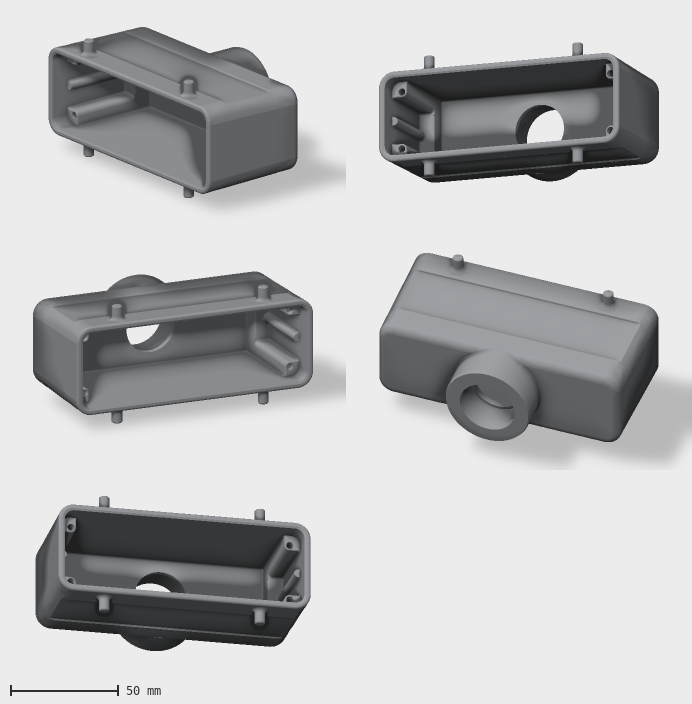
import cadquery as cq
import math


length = 120.0
height = 43.0
length_back = 119.1
height_back = 41.2
body_depth = 55.0
corner_radius = 7.5
back_edge_radius = 3.7
rim_edge_radius = 1.1

wall = 3.0
cavity_depth = 52.1
cavity_draft_x = 0.5
cavity_draft_z = 0.6
cavity_floor_radius = 0.8
rim_bevel_width = 0.8
rim_bevel_depth = 0.5

boss_diameter = 41.5
boss_end = 70.0
boss_root = 52.1
boss_blend_radius = 0.6
boss_chamfer_radial = 0.5
boss_chamfer_axial = 1.2
entry_hole_diameter = 24.2
entry_bore_diameter = 26.9

label_half_length = 55.9
label_near = 13.2
label_far = 41.0
label_depth = 0.7
label_near_ramp = 0.2
label_far_ramp = 0.6

pin_x = 37.1
pin_y = 6.2
pin_diameter = 4.9
pin_span = 57.0
pin_tip_chamfer = 0.5
pin_flare_radius = 2.0

post_face = 9.6
post_inner_x = 49.7
post_side_z = 11.2
post_draft = 1.0
post_edge_radius = 2.4
post_face_chamfer = 0.4
ledge_depth = 43.2
ledge_radius = 1.0
ledge_round_half_length = 9.5
recess_back_x = 57.0
screw_x = 52.1
screw_z = 13.5
screw_mouth_diameter = 3.4
screw_bottom_diameter = 2.8
screw_depth = 18.0
rib_x = 56.0
rib_radius = 1.9
rib_draft = 0.5

draft_run = body_depth - rim_edge_radius
length_slope = (length - length_back) / draft_run
height_slope = (height - height_back) / draft_run
rim_length = length + length_slope * rim_edge_radius
rim_height = height + height_slope * rim_edge_radius
cavity_length = rim_length - 2 * wall
cavity_height = rim_height - 2 * wall

DIAGONAL = math.sqrt(0.5)
MARGIN = 0.1


def plane_at(y):
    """Sketch plane across the hood at depth y, facing +Y."""
    return cq.Workplane(cq.Plane(origin=(0, y, 0), xDir=(1, 0, 0), normal=(0, 1, 0)))


def drafted_block(depth, start_size, end_size, radius):
    """Rounded rectangle lofted from the rim plane between two (length, height) sizes."""
    start = cq.Sketch().rect(*start_size).vertices().fillet(radius)
    end = cq.Sketch().rect(*end_size).vertices().fillet(radius)
    end = end.moved(cq.Location(cq.Vector(0, 0, depth)))
    return plane_at(0).placeSketch(start, end).loft(ruled=True)


def edge_box(low, high):
    """Selector for edges centred between two corners, with a small margin all round."""
    return cq.selectors.BoxSelector(
        tuple(value - MARGIN for value in low),
        tuple(value + MARGIN for value in high),
    )


def wall_z(y):
    """Height of the outer +Z wall at depth y."""
    return (rim_height - height_slope * y) / 2


def make_body():
    body = drafted_block(body_depth, (rim_length, rim_height), (length_back, height_back), corner_radius)
    body = body.faces(">Y").edges().fillet(back_edge_radius)
    return body.faces("<Y").edges().fillet(rim_edge_radius)


def make_boss():
    radius = boss_diameter / 2
    profile = [
        (0, boss_root),
        (radius, boss_root),
        (radius, boss_end - boss_chamfer_axial),
        (radius - boss_chamfer_radial, boss_end),
        (0, boss_end),
    ]
    return cq.Workplane("XY").polyline(profile).close().revolve(360, (0, 0), (0, 1))


def make_solid_hood():
    """Body and boss, blended where the boss leaves the body."""
    radius = boss_diameter / 2
    boss_foot = edge_box((-radius, boss_root + 2 * MARGIN, -radius), (radius, body_depth, radius))
    return make_body().union(make_boss()).edges(boss_foot).fillet(boss_blend_radius)


def cavity_block(grow=0.0):
    """Cavity volume, optionally grown sideways into the walls."""
    mouth = (cavity_length + 2 * grow, cavity_height + 2 * grow)
    floor = (mouth[0] - 2 * cavity_draft_x, mouth[1] - 2 * cavity_draft_z)
    return drafted_block(cavity_depth, mouth, floor, corner_radius - wall + grow)


def make_cavity():
    """Cavity with the bevel around its mouth."""
    mouth = (cavity_length + 2 * rim_bevel_width, cavity_height + 2 * rim_bevel_width)
    bevel = drafted_block(rim_bevel_depth, mouth, (cavity_length, cavity_height), corner_radius - wall)
    return cavity_block().union(bevel)


def label_cut():
    """Shallow recess in the +Z side, its floor parallel to the drafted wall."""
    near_z = wall_z(label_near)
    far_z = wall_z(label_far)
    profile = [
        (label_near, rim_height),
        (label_near, near_z),
        (label_near + label_near_ramp, near_z - label_depth),
        (label_far - label_far_ramp, far_z - label_depth),
        (label_far, far_z),
        (label_far, rim_height),
    ]
    return cq.Workplane("YZ").polyline(profile).close().extrude(label_half_length, both=True)


def make_pin(x):
    """Pin pointing to +Z with a concave flare where it leaves the wall."""
    radius = pin_diameter / 2
    tip = pin_span / 2
    foot_z = wall_z(pin_y)
    root_z = foot_z - wall / 2
    flare_rise = pin_flare_radius * (1 - DIAGONAL)
    profile = (
        cq.Workplane("XZ", origin=(x, pin_y, 0))
        .moveTo(0, root_z)
        .lineTo(radius + pin_flare_radius, root_z)
        .lineTo(radius + pin_flare_radius, foot_z)
        .threePointArc((radius + flare_rise, foot_z + flare_rise), (radius, foot_z + pin_flare_radius))
        .lineTo(radius, tip - pin_tip_chamfer)
        .lineTo(radius - pin_tip_chamfer, tip)
        .lineTo(0, tip)
        .close()
    )
    return profile.revolve(360, (0, 0), (0, 1))


def recess_cutter():
    """Space between the two posts of the -X end, widening into the cavity with rounded post edges."""
    depth = ledge_depth - post_face
    draft_shift = depth * math.tan(math.radians(post_draft))
    shoulder_z = post_side_z + 2 * post_edge_radius
    mouth_length = 4 * post_edge_radius
    gap_end_x = -post_inner_x + mouth_length / 2
    gap = (
        plane_at(post_face)
        .center((gap_end_x - recess_back_x) / 2, 0)
        .rect(gap_end_x + recess_back_x, 2 * post_side_z)
        .extrude(depth, taper=post_draft)
    )
    mouth = (
        plane_at(post_face)
        .center(-post_inner_x + mouth_length / 2, 0)
        .rect(mouth_length, 2 * shoulder_z)
        .extrude(depth, taper=post_draft)
    )
    cutter = gap.union(mouth)

    middle = (post_face + ledge_depth) / 2
    post_edges = edge_box(
        (-post_inner_x, middle, -post_side_z), (-post_inner_x + draft_shift, middle, post_side_z)
    )
    cutter = cutter.edges(post_edges).fillet(post_edge_radius)
    back_edges = edge_box(
        (-recess_back_x, middle, -post_side_z), (-recess_back_x + draft_shift, middle, post_side_z)
    )
    cutter = cutter.edges(back_edges).fillet(ledge_radius)
    ledge_edges = edge_box(
        (-recess_back_x, ledge_depth, -shoulder_z), (-post_inner_x - 2 * MARGIN, ledge_depth, shoulder_z)
    )
    return cutter.edges(ledge_edges).fillet(ledge_radius)


def ledge_round_cutter():
    """Rounds the inner edge of the ledge between the posts."""
    edge_x = -post_inner_x + (ledge_depth - post_face) * math.tan(math.radians(post_draft))
    start_x = edge_x - ledge_radius
    end_y = ledge_depth + ledge_radius
    bulge = ledge_radius * DIAGONAL
    corner = (
        cq.Workplane("XY")
        .moveTo(start_x, ledge_depth)
        .threePointArc((start_x + bulge, end_y - bulge), (edge_x, end_y))
        .lineTo(edge_x + ledge_radius, end_y)
        .lineTo(edge_x + ledge_radius, ledge_depth)
        .close()
    )
    return corner.extrude(ledge_round_half_length, both=True)


def screw_hole(side):
    """Slightly tapered blind hole in the post on the given Z side."""
    taper = math.degrees(math.atan((screw_mouth_diameter - screw_bottom_diameter) / 2 / screw_depth))
    mouth = plane_at(post_face).center(-screw_x, side * screw_z).circle(screw_mouth_diameter / 2)
    return mouth.extrude(screw_depth, taper=taper)


def make_end_block():
    """Screw posts, ledge and rib filling the -X end of the cavity."""
    block_length = length / 2 - post_inner_x
    block = (
        plane_at(post_face)
        .center(-post_inner_x - block_length / 2, 0)
        .rect(block_length, height)
        .extrude(cavity_depth + wall / 2 - post_face, taper=-post_draft)
    )
    block = block.cut(recess_cutter()).intersect(cavity_block(wall / 2))

    face_edges = edge_box(
        (-recess_back_x + 2 * ledge_radius, post_face, -cavity_height / 2),
        (-post_inner_x, post_face, cavity_height / 2),
    )
    block = block.edges(face_edges).chamfer(post_face_chamfer)
    block = block.cut(ledge_round_cutter())

    rib = (
        plane_at(post_face)
        .center(-rib_x, 0)
        .circle(rib_radius)
        .extrude(ledge_depth - post_face, taper=-rib_draft)
    )
    block = block.union(rib)
    rib_foot = edge_box((-rib_x, ledge_depth, -rib_radius), (-rib_x + 2 * rib_radius, ledge_depth, rib_radius))
    block = block.edges(rib_foot).fillet(ledge_radius)

    return block.cut(screw_hole(1)).cut(screw_hole(-1))


def round_inner_corners(hood):
    """Rounds the cavity floor and the corners between the posts and the long walls."""
    ledge_z = post_side_z + 2 * post_edge_radius
    around_core = edge_box(
        (-post_inner_x, ledge_depth / 2, -cavity_height / 2),
        (post_inner_x, cavity_depth, cavity_height / 2),
    )
    around_ledges = edge_box(
        (-post_inner_x, 0, -ledge_z),
        (post_inner_x, cavity_depth - 3 * MARGIN, ledge_z),
    )
    return hood.edges(around_core - around_ledges).fillet(cavity_floor_radius)


hood = make_solid_hood().cut(make_cavity())

label = label_cut()
hood = hood.cut(label).cut(label.mirror("XY"))

end_block = make_end_block()
hood = hood.union(end_block).union(end_block.mirror("YZ"))
hood = round_inner_corners(hood)

hood = hood.cut(plane_at(body_depth / 2).circle(entry_hole_diameter / 2).extrude(body_depth))
hood = hood.cut(plane_at(body_depth).circle(entry_bore_diameter / 2).extrude(boss_end - body_depth))

for x in (-pin_x, pin_x):
    pin = make_pin(x)
    hood = hood.union(pin).union(pin.mirror("XY"))

result = hood